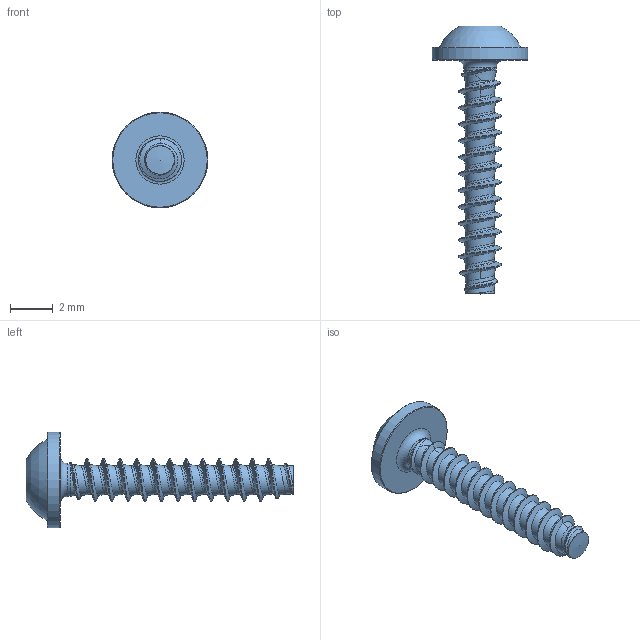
import math

import cadquery as cq


flange_diameter = 4.5
flange_thickness = 0.6
flange_edge_chamfer = 0.03
head_height = 1.6
dome_base_radius = 1.92
dome_flat_radius = 0.95

shank_length = 11.0
core_radius = 0.67
neck_radius = 0.775
neck_fillet = 0.36
neck_length = 0.48
neck_cone_end = 0.95
tip_cone_height = 0.04

pitch = 0.777
crest_radius = 1.01
crest_flat = 0.04
thread_start = 0.301
run_in_turns = 1.25
full_turns = 11
run_out_turns = 1.5
end_sink = 0.01
run_in_radius = neck_radius - end_sink
run_out_radius = core_radius - end_sink
buried_radius = 0.5
points_per_turn = 24

front_foot_offset = 0.115
front_foot_radius = 0.735
root_end_offset = 0.53
root_end_radius = 0.66
back_foot_offset = 0.13
back_foot_radius = 0.69
back_ramp_offset = 0.23
back_ramp_radius = 0.66


def make_body():
    """Head, neck, core and tip as one turned solid; the profile is (radius, y)."""
    flange_radius = flange_diameter / 2
    dome_height = head_height - flange_thickness
    center_height = (dome_flat_radius**2 + dome_height**2 - dome_base_radius**2) / (2 * dome_height)
    sphere_radius = math.hypot(dome_base_radius, center_height)
    middle_angle = (
        math.atan2(-center_height, dome_base_radius)
        + math.atan2(dome_height - center_height, dome_flat_radius)
    ) / 2
    dome_middle = (
        sphere_radius * math.cos(middle_angle),
        flange_thickness + center_height + sphere_radius * math.sin(middle_angle),
    )
    fillet_gap = neck_fillet * (1 - math.cos(math.pi / 4))
    fillet_middle = (neck_radius + fillet_gap, -fillet_gap)
    profile = (
        cq.Workplane("XY")
        .moveTo(0, head_height)
        .lineTo(dome_flat_radius, head_height)
        .threePointArc(dome_middle, (dome_base_radius, flange_thickness))
        .lineTo(flange_radius - flange_edge_chamfer, flange_thickness)
        .lineTo(flange_radius, flange_thickness - flange_edge_chamfer)
        .lineTo(flange_radius, flange_edge_chamfer)
        .lineTo(flange_radius - flange_edge_chamfer, 0)
        .lineTo(neck_radius + neck_fillet, 0)
        .threePointArc(fillet_middle, (neck_radius, -neck_fillet))
        .lineTo(neck_radius, -neck_length)
        .lineTo(core_radius, -neck_cone_end)
        .lineTo(core_radius, tip_cone_height - shank_length)
        .lineTo(0, -shank_length)
        .close()
    )
    return profile.revolve(360, (0, 0, 0), (0, 1, 0))


def thread_profile(crest):
    """Closed thread section as (axial offset toward the tip, radius) points."""
    return [
        (-back_ramp_offset, buried_radius),
        (-back_ramp_offset, back_ramp_radius),
        (-back_foot_offset, min(back_foot_radius, crest)),
        (-crest_flat / 2, crest),
        (crest_flat / 2, crest),
        (front_foot_offset, min(front_foot_radius, crest)),
        (root_end_offset, root_end_radius),
        (root_end_offset, buried_radius),
    ]


def helix_point(turn, offset, radius):
    """Point on the right-hand helix, which starts at +X."""
    angle = 2 * math.pi * turn
    y = -(thread_start + pitch * turn + offset)
    return cq.Vector(radius * math.cos(angle), y, radius * math.sin(angle))


def helical_rail(first_turn, turns, first_point, last_point):
    """Helical edge of one section corner as it moves from first_point to last_point."""
    steps = round(turns * points_per_turn)
    points = []
    for step in range(steps + 1):
        share = step / steps
        offset = first_point[0] + share * (last_point[0] - first_point[0])
        radius = first_point[1] + share * (last_point[1] - first_point[1])
        points.append(helix_point(first_turn + share * turns, offset, radius))
    return cq.Edge.makeSpline(points)


def helical_faces(first_turn, turns, first_crest, last_crest):
    """Side faces of a thread stretch whose crest radius changes steadily."""
    corners = zip(thread_profile(first_crest), thread_profile(last_crest))
    rails = [helical_rail(first_turn, turns, first, last) for first, last in corners]
    next_rails = rails[1:] + rails[:1]
    return [cq.Face.makeRuledSurface(rail, next_rail) for rail, next_rail in zip(rails, next_rails)]


def end_cap(turn, crest):
    """Flat face closing the thread at one end."""
    points = [helix_point(turn, offset, radius) for offset, radius in thread_profile(crest)]
    return cq.Face.makeFromWires(cq.Wire.makePolygon(points, close=True))


def make_thread():
    """Thread with a rising run-in, a full stretch and a fading run-out."""
    run_out_start = run_in_turns + full_turns
    faces = [end_cap(0, run_in_radius)]
    faces += helical_faces(0, run_in_turns, run_in_radius, crest_radius)
    faces += helical_faces(run_in_turns, full_turns, crest_radius, crest_radius)
    faces += helical_faces(run_out_start, run_out_turns, crest_radius, run_out_radius)
    faces.append(end_cap(run_out_start + run_out_turns, run_out_radius))
    thread = cq.Workplane(cq.Solid.makeSolid(cq.Shell.makeShell(faces)))
    envelope = (
        cq.Workplane("XZ")
        .circle(flange_diameter / 2)
        .extrude(shank_length - tip_cone_height)
    )
    return thread.intersect(envelope)


result = make_body().union(make_thread())